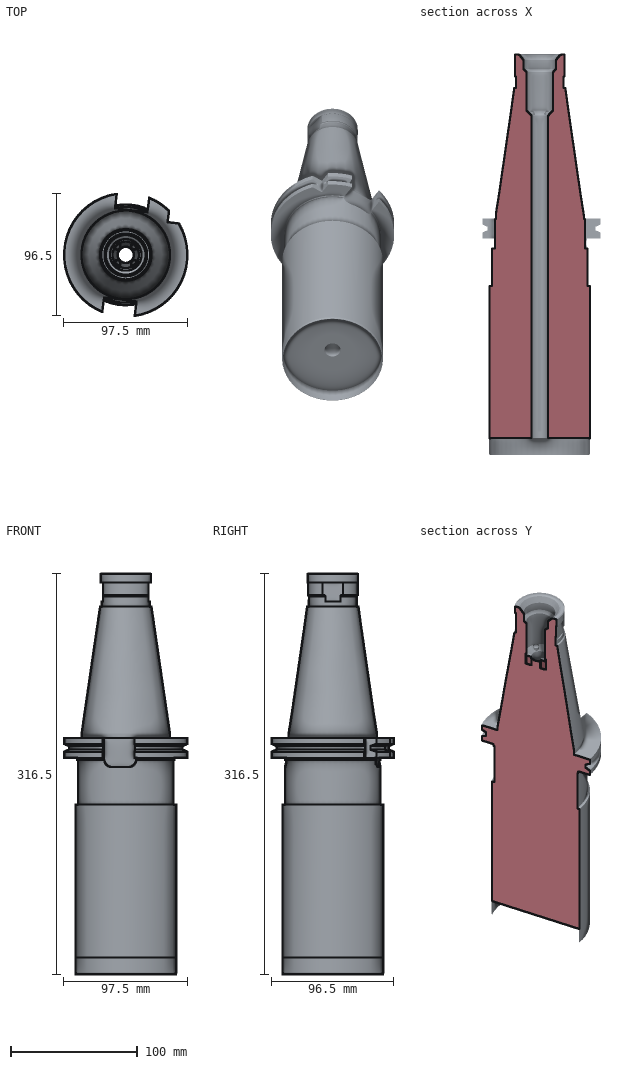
import cadquery as cq
import math

overall_length = 316.5
top_z = 126.5
bottom_z = top_z - overall_length
flange_top_z = -3.2
flange_bottom_z = -19.0
neck_bottom_z = -56.0

gauge_radius = 70.0 / 2
taper_length = 100.5
taper_ratio = 7 / 24
taper_tip_radius = gauge_radius - taper_length * taper_ratio / 2

cap_radius = 40.0 / 2
cap_bottom_z = 119.5
cap_chamfer = 0.5
tail_radius = 39.5 / 2
tail_groove_radius = 38.0 / 2
tail_groove_top_z = 109.5
tail_groove_taper_height = 1.0
tail_groove_step_radius = 38.5 / 2
tail_flat_offset = 18.0
tail_flat_bottom_z = 104.5

flange_radius = 97.5 / 2
groove_floor_radius = 90.0 / 2
groove_mid_z = -11.0
groove_mouth_width = 6.3
groove_edge_radius = 95.0 / 2
groove_edge_width = 5.0
groove_floor_width = 3.0

collar_radius = 77.0 / 2
collar_height = 1.5
neck_radius = 75.7 / 2
body_radius = 79.8 / 2
body_chamfer_width = 0.3
body_chamfer_height = 1.5

turn_angle = -7.0
slot_angles = (turn_angle, turn_angle + 180)
slot_width = 25.5
slot_floor_offset = 35.5
slot_bottom_z = -26.3
slot_corner_radius = 6.3
notch_corner_offset = 29.8

mouth_radius = 34.0 / 2
mouth_chamfer_radius = 31.5 / 2
mouth_chamfer_depth = 0.5
pilot_radius = 25.0 / 2
pilot_top_depth = 4.7
pilot_bottom_depth = 11.7
core_radius = 21.0 / 2
core_top_depth = 14.0
core_bottom_depth = 44.3
through_radius = 12.7 / 2
seat_bottom_depth = core_bottom_depth + core_radius - through_radius

recess_radius = 78.5 / 2
recess_depth = 13.3

pin_angles = (45, 135, 225, 315)
pin_radius = 4.5 / 2
pin_hole_radius = 5.0 / 2
pin_circle_radius = 9.2
pin_hole_depth = 9.5
pin_length = 8.2
pin_hole_bottom_z = top_z - core_bottom_depth - pin_hole_depth


def revolve_profile(points):
    """Solid of revolution about Z from (radius, z) points."""
    return cq.Workplane("XZ").polyline(points).close().revolve(360, (0, 0, 0), (0, 1, 0))


def outer_shape():
    """Tail, taper, flange, neck and body as one turned shape."""
    return revolve_profile([
        (0, top_z),
        (cap_radius - cap_chamfer, top_z),
        (cap_radius, top_z - cap_chamfer),
        (cap_radius, cap_bottom_z),
        (tail_radius, cap_bottom_z),
        (tail_radius, tail_groove_top_z),
        (tail_groove_step_radius, tail_groove_top_z),
        (tail_groove_radius, tail_groove_top_z - tail_groove_taper_height),
        (tail_groove_radius, taper_length),
        (taper_tip_radius, taper_length),
        (gauge_radius, 0),
        (gauge_radius, flange_top_z),
        (flange_radius, flange_top_z),
        (flange_radius, groove_mid_z + groove_mouth_width / 2),
        (groove_edge_radius, groove_mid_z + groove_edge_width / 2),
        (groove_floor_radius, groove_mid_z + groove_floor_width / 2),
        (groove_floor_radius, groove_mid_z - groove_floor_width / 2),
        (groove_edge_radius, groove_mid_z - groove_edge_width / 2),
        (flange_radius, groove_mid_z - groove_mouth_width / 2),
        (flange_radius, flange_bottom_z),
        (collar_radius, flange_bottom_z),
        (collar_radius, flange_bottom_z - collar_height),
        (neck_radius, flange_bottom_z - collar_height),
        (neck_radius, neck_bottom_z),
        (body_radius, neck_bottom_z),
        (body_radius, bottom_z + body_chamfer_height),
        (body_radius - body_chamfer_width, bottom_z),
        (0, bottom_z),
    ])


def bore():
    """Coned mouth, pilot, core and through hole, ending in the wide lower recess."""
    recess_top_z = bottom_z + recess_depth
    return revolve_profile([
        (0, top_z),
        (mouth_radius, top_z),
        (mouth_chamfer_radius, top_z - mouth_chamfer_depth),
        (pilot_radius, top_z - pilot_top_depth),
        (pilot_radius, top_z - pilot_bottom_depth),
        (core_radius, top_z - core_top_depth),
        (core_radius, top_z - core_bottom_depth),
        (through_radius, top_z - seat_bottom_depth),
        (through_radius, recess_top_z),
        (recess_radius, recess_top_z),
        (recess_radius, bottom_z),
        (0, bottom_z),
    ])


def tail_flats():
    """Two blocks that leave parallel flats on the +X and -X sides of the tail."""
    block_depth = cap_radius
    block_center = tail_flat_offset + block_depth / 2
    return (
        cq.Workplane("XY", origin=(0, 0, tail_flat_bottom_z))
        .pushPoints([(block_center, 0), (-block_center, 0)])
        .rect(block_depth, 2 * cap_radius)
        .extrude(cap_bottom_z - tail_flat_bottom_z)
    )


def drive_slot(angle):
    """Flat-floored slot through the flange, with rounded lower corners in the neck."""
    slot_depth = flange_radius - slot_floor_offset
    return (
        cq.Workplane("XY", origin=(0, 0, slot_bottom_z))
        .center(0, slot_floor_offset + slot_depth / 2)
        .rect(slot_width, slot_depth)
        .extrude(flange_top_z - slot_bottom_z)
        .edges("|Y and <Z")
        .fillet(slot_corner_radius)
        .rotate((0, 0, 0), (0, 0, 1), angle)
    )


def orientation_notch():
    """Square-cornered notch through the flange rim."""
    return (
        cq.Workplane("XY", origin=(0, 0, flange_bottom_z))
        .center(notch_corner_offset, notch_corner_offset)
        .rect(flange_radius, flange_radius, centered=False)
        .extrude(flange_top_z - flange_bottom_z)
        .rotate((0, 0, 0), (0, 0, 1), turn_angle)
    )


def upright_cylinder(angle, radius, height):
    """Cylinder at the given angle on the pin circle, standing on the pin hole floor."""
    x = pin_circle_radius * math.cos(math.radians(angle))
    y = pin_circle_radius * math.sin(math.radians(angle))
    return cq.Workplane("XY", origin=(x, y, pin_hole_bottom_z)).circle(radius).extrude(height)


def make_holder():
    holder = outer_shape().cut(bore()).cut(tail_flats()).cut(orientation_notch())
    for angle in slot_angles:
        holder = holder.cut(drive_slot(angle))
    for angle in pin_angles:
        holder = holder.cut(upright_cylinder(angle, pin_hole_radius, pin_hole_depth))
    return holder


def make_pin(angle):
    return upright_cylinder(angle, pin_radius, pin_length)


holder = make_holder()
pins = [make_pin(angle) for angle in pin_angles]

result = cq.Compound.makeCompound([holder.val(), *[pin.val() for pin in pins]])